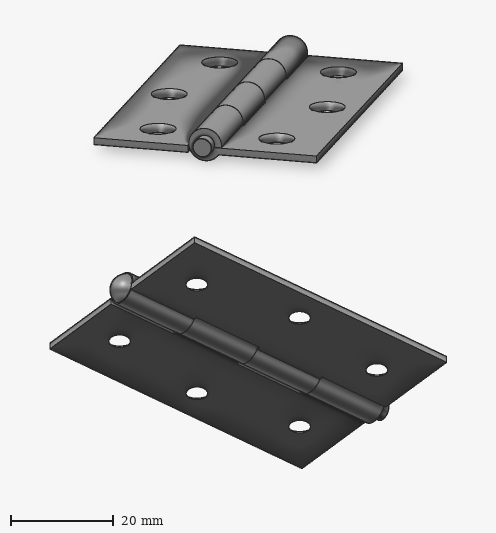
import cadquery as cq
import math

hinge_width = 45.0
hinge_length = 67.4
leaf_length = 63.0
leaf_thickness = 1.4
pin_diameter = 3.8
pin_chamfer = 0.1
knuckle_count = 4
notch_clearance = 0.2
roll_gap = 0.1

head_diameter = 6.05

hole_diameter = 4.2
countersink_angle = 90.0
inner_hole_x = 12.0
outer_hole_x = 16.0
corner_hole_y = 22.5

pin_radius = pin_diameter / 2
knuckle_radius = pin_radius + leaf_thickness
leaf_bottom = -pin_radius
leaf_top = leaf_bottom + leaf_thickness
leaf_edge = hinge_width / 2
leaf_front = -leaf_length / 2
notch_edge = knuckle_radius + notch_clearance
knuckle_length = leaf_length / knuckle_count
pin_overhang = (hinge_length - leaf_length) / 2
hole_positions = [
    (inner_hole_x, -corner_hole_y),
    (outer_hole_x, 0),
    (inner_hole_x, corner_hole_y),
]


def cylinder_along_y(radius, y_min, length):
    base = cq.Vector(0, y_min, 0)
    return cq.Workplane(cq.Solid.makeCylinder(radius, length, base, cq.Vector(0, 1, 0)))


def box_between(x_min, x_max, y_min, length, z_min, z_max):
    size = (x_max - x_min, length, z_max - z_min)
    return cq.Workplane("XY").box(*size, centered=False).translate((x_min, y_min, z_min))


def leaf_plate():
    """Flat part of a leaf, set back to clear the other leaf's knuckles."""
    return box_between(notch_edge, leaf_edge, leaf_front, leaf_length, leaf_bottom, leaf_top)


def knuckle(y_start):
    """Rolled knuckle with the strip that joins it to the plate."""
    barrel = cylinder_along_y(knuckle_radius, y_start, knuckle_length)
    strip = box_between(0, notch_edge, y_start, knuckle_length, leaf_bottom, leaf_top)
    bore = cylinder_along_y(pin_radius, y_start, knuckle_length)
    slit = box_between(0, notch_edge, y_start, knuckle_length, leaf_top, leaf_top + roll_gap)
    return barrel.union(strip).cut(bore).cut(slit)


def countersunk_hole(x, y):
    """Cone that narrows from the leaf's top face to the hole size at its bottom face."""
    bottom_radius = hole_diameter / 2
    top_radius = bottom_radius + leaf_thickness * math.tan(math.radians(countersink_angle / 2))
    base = cq.Vector(x, y, leaf_bottom)
    return cq.Workplane(cq.Solid.makeCone(bottom_radius, top_radius, leaf_thickness, base))


def make_leaf():
    """Leaf on the +X side, carrying every second knuckle from the front end."""
    leaf = leaf_plate()
    for index in range(0, knuckle_count, 2):
        leaf = leaf.union(knuckle(leaf_front + index * knuckle_length))
    for x, y in hole_positions:
        leaf = leaf.cut(countersunk_hole(x, y))
    return leaf


def make_pin():
    """Pin through all knuckles, with a domed head seated on the rear end."""
    head_radius = head_diameter / 2
    head_seat = leaf_length / 2
    dome_tip = head_seat + pin_overhang
    dome_radius = (head_radius**2 + pin_overhang**2) / (2 * pin_overhang)
    dome_centre = dome_tip - dome_radius
    half_angle = math.asin(head_radius / dome_radius) / 2
    dome_middle = (
        dome_radius * math.sin(half_angle),
        dome_centre + dome_radius * math.cos(half_angle),
    )
    pin_end = leaf_front - pin_overhang
    return (
        cq.Workplane("XY")
        .moveTo(0, pin_end)
        .lineTo(pin_radius - pin_chamfer, pin_end)
        .lineTo(pin_radius, pin_end + pin_chamfer)
        .lineTo(pin_radius, head_seat)
        .lineTo(head_radius, head_seat)
        .threePointArc(dome_middle, (0, dome_tip))
        .close()
        .revolve(360, (0, 0, 0), (0, 1, 0))
    )


right_leaf = make_leaf()
left_leaf = make_leaf().rotate((0, 0, 0), (0, 0, 1), 180)
pin = make_pin()

result = cq.Compound.makeCompound([right_leaf.val(), left_leaf.val(), pin.val()])